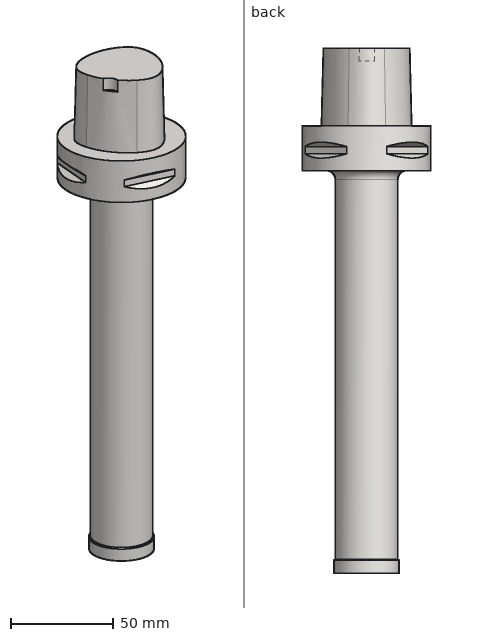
import cadquery as cq
import math

total_length = 257.0
shank_length = 38.0
flange_height = 22.0
collar_height = 7.0

shank_mean_diameter = 44.3
shank_taper = 1 / 20
lobe_eccentricity = 1.4
flat_half_angle = 25.0
points_per_face = 9
lobe_count = 3

notch_radius = 5.0
notch_axis_y = -23.0
notch_height = 6.2

flange_diameter = 63.0
groove_count = 4
groove_first_angle = 45.0
groove_floor_distance = 28.1
groove_floor_height = 3.5
groove_mouth_height = 7.8
groove_center_z = -11.9
cutter_overshoot = 1.0

bar_diameter = 30.8
neck_fillet = 4.2
collar_diameter = 32.0

bar_end_z = shank_length - total_length + collar_height


def shank_point(angle_deg, mean_diameter):
    """Point of the rounded triangle; angle 0 is the middle of the -Y face."""
    a = math.radians(angle_deg)
    e = lobe_eccentricity
    along = mean_diameter / 2 * math.cos(a) - 2 * e * math.cos(2 * a) + e * math.cos(4 * a)
    across = mean_diameter / 2 * math.sin(a) + 2 * e * math.sin(2 * a) + e * math.sin(4 * a)
    return (across, -along)


def shank_outline(z, mean_diameter):
    """Closed wire of three flatter faces alternating with three rounded lobes."""
    seams = []
    for face in range(lobe_count):
        middle = face * 360 / lobe_count
        seams += [middle - flat_half_angle, middle + flat_half_angle]
    seams.append(seams[0] + 360)
    edges = []
    for start, end in zip(seams, seams[1:]):
        step = (end - start) / (points_per_face - 1)
        angles = [start + i * step for i in range(points_per_face)]
        points = [cq.Vector(*shank_point(angle, mean_diameter), z) for angle in angles]
        edges.append(cq.Edge.makeSpline(points))
    return cq.Wire.assembleEdges(edges)


def make_shank():
    top_diameter = shank_mean_diameter - shank_taper * shank_length
    base = shank_outline(0, shank_mean_diameter)
    top = shank_outline(shank_length, top_diameter)
    shank = cq.Workplane(cq.Solid.makeLoft([base, top], True))
    notch = (
        cq.Workplane("XY", origin=(0, notch_axis_y, shank_length - notch_height))
        .circle(notch_radius)
        .extrude(notch_height)
    )
    return shank.cut(notch)


def make_groove(angle):
    """Straight trapezoidal groove cutter, flaring outward, at one angle around the flange."""
    flange_radius = flange_diameter / 2
    slope = (groove_mouth_height - groove_floor_height) / 2 / (flange_radius - groove_floor_distance)
    outer_distance = flange_radius + cutter_overshoot
    outer_half = groove_floor_height / 2 + slope * (outer_distance - groove_floor_distance)
    floor_half = groove_floor_height / 2
    return (
        cq.Workplane("XZ")
        .polyline([
            (groove_floor_distance, groove_center_z - floor_half),
            (outer_distance, groove_center_z - outer_half),
            (outer_distance, groove_center_z + outer_half),
            (groove_floor_distance, groove_center_z + floor_half),
        ])
        .close()
        .extrude(flange_radius, both=True)
        .rotate((0, 0, 0), (0, 0, 1), angle)
    )


def make_holder():
    bar_radius = bar_diameter / 2
    flange_radius = flange_diameter / 2
    fillet_center = (bar_radius + neck_fillet, -flange_height - neck_fillet)
    fillet_reach = neck_fillet * math.sqrt(0.5)
    holder = (
        cq.Workplane("XZ")
        .moveTo(0, bar_end_z)
        .lineTo(bar_radius, bar_end_z)
        .lineTo(bar_radius, fillet_center[1])
        .threePointArc(
            (fillet_center[0] - fillet_reach, fillet_center[1] + fillet_reach),
            (fillet_center[0], -flange_height),
        )
        .lineTo(flange_radius, -flange_height)
        .lineTo(flange_radius, 0)
        .lineTo(0, 0)
        .close()
        .revolve(360, (0, 0, 0), (0, 1, 0))
    )
    for i in range(groove_count):
        holder = holder.cut(make_groove(groove_first_angle + i * 360 / groove_count))
    return holder.union(make_shank())


def make_collar():
    """End cap whose top edge is chamfered down to the bar diameter."""
    return (
        cq.Workplane("XY", origin=(0, 0, bar_end_z - collar_height))
        .circle(collar_diameter / 2)
        .extrude(collar_height)
        .faces(">Z")
        .chamfer((collar_diameter - bar_diameter) / 2)
    )


holder = make_holder()
collar = make_collar()

result = cq.Compound.makeCompound([holder.val(), collar.val()])